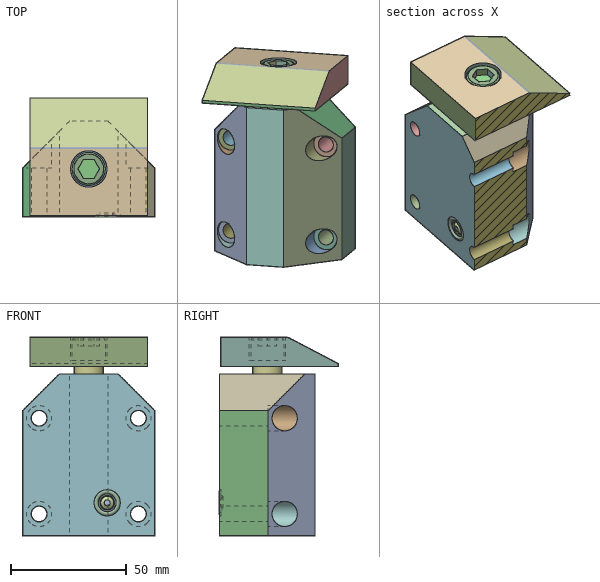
import cadquery as cq
import math


body_width = 57.2
body_depth = 41.3
body_height = 69.9
top_corner_cut = 15.9
rear_corner_cut = 20.3

hole_diameter = 6.7
counterbore_diameter = 10.9
counterbore_floor_y = body_depth - rear_corner_cut
hole_spacing_x = 42.9
hole_spacing_z = 41.3
lowest_hole_z = 9.4

stem_diameter = 12.7
stem_length = 3.2

plate_width = 50.8
plate_length = 50.8
plate_thickness = 12.7
plate_front_y = 0.5
slope_length = 21.8
slope_tip_height = 1.3
ridge_radius = 2.15

screw_y = body_depth / 2
screw_pocket_diameter = 15.7
screw_head_diameter = 14.3
screw_head_height = 9.5
screw_head_recess = 0.4
screw_head_chamfer = 0.7
hex_across_flats = 8.1
hex_across_corners = hex_across_flats / math.cos(math.radians(30))
hex_depth = 3.3

fitting_x = 8.0
fitting_z = 14.2
ring_outer_radius = 5.7
ring_inner_radius = 3.9
ring_protrusion = 0.2
nose_base_radius = 2.8
nose_tip_radius = 1.3
nose_height = 1.2
nose_tip_recess = 0.35
nose_clearance = 0.35

plate_bottom_z = body_height + stem_length
plate_top_z = plate_bottom_z + plate_thickness


def make_body():
    block = cq.Workplane("XY").box(body_width, body_depth, body_height, centered=(True, False, False))
    block = block.faces(">Z").edges("|Y").chamfer(top_corner_cut)

    half_width = body_width / 2
    for side in (-1, 1):
        corner = (
            cq.Workplane("XY")
            .moveTo(side * half_width, body_depth)
            .lineTo(side * (half_width - rear_corner_cut), body_depth)
            .lineTo(side * half_width, body_depth - rear_corner_cut)
            .close()
            .extrude(body_height)
        )
        block = block.cut(corner)
    return block


def rod_along_y(diameter, start_y, end_y, x, z):
    return (
        cq.Workplane("XZ", origin=(x, start_y, z))
        .circle(diameter / 2)
        .extrude(start_y - end_y)
    )


def cut_mounting_holes(body):
    for x in (-hole_spacing_x / 2, hole_spacing_x / 2):
        for z in (lowest_hole_z, lowest_hole_z + hole_spacing_z):
            body = body.cut(rod_along_y(hole_diameter, 0, body_depth, x, z))
            body = body.cut(rod_along_y(counterbore_diameter, counterbore_floor_y, body_depth, x, z))
    return body


def add_fitting(body):
    tube_radius = (ring_outer_radius - ring_inner_radius) / 2
    ring_radius = (ring_outer_radius + ring_inner_radius) / 2
    ring_center_y = tube_radius - ring_protrusion

    body = body.cut(rod_along_y(2 * ring_outer_radius, 0, ring_center_y, fitting_x, fitting_z))
    axis_plane = cq.Workplane("XY", origin=(fitting_x, 0, fitting_z))
    ring = (
        axis_plane.center(ring_radius, ring_center_y)
        .circle(tube_radius)
        .revolve(360, (-ring_radius, 0), (-ring_radius, 1))
    )
    body = body.union(ring)
    nose_base_y = nose_tip_recess + nose_height
    pocket_diameter = 2 * (nose_base_radius + nose_clearance)
    body = body.cut(rod_along_y(pocket_diameter, 0, nose_base_y, fitting_x, fitting_z))
    nose = (
        axis_plane.moveTo(0, nose_tip_recess)
        .lineTo(nose_tip_radius, nose_tip_recess)
        .lineTo(nose_base_radius, nose_base_y)
        .lineTo(0, nose_base_y)
        .close()
        .revolve(360, (0, 0), (0, 1))
    )
    return body.union(nose)


def make_plate():
    rear_y = plate_front_y + plate_length
    plate = (
        cq.Workplane("YZ")
        .moveTo(plate_front_y, plate_bottom_z)
        .lineTo(rear_y, plate_bottom_z)
        .lineTo(rear_y, plate_bottom_z + slope_tip_height)
        .lineTo(rear_y - slope_length, plate_top_z)
        .lineTo(plate_front_y, plate_top_z)
        .close()
        .extrude(plate_width / 2, both=True)
    )
    return plate.faces(">Z").edges(">Y").fillet(ridge_radius)


def add_screw(plate):
    head_top_z = plate_top_z - screw_head_recess
    head_bottom_z = head_top_z - screw_head_height

    pocket = (
        cq.Workplane("XY", origin=(0, screw_y, head_bottom_z))
        .circle(screw_pocket_diameter / 2)
        .extrude(plate_top_z - head_bottom_z)
    )
    head = (
        cq.Workplane("XY", origin=(0, screw_y, head_bottom_z))
        .circle(screw_head_diameter / 2)
        .extrude(screw_head_height)
        .faces(">Z")
        .chamfer(screw_head_chamfer)
    )
    hex_socket = (
        cq.Workplane("XY", origin=(0, screw_y, head_top_z - hex_depth))
        .polygon(6, hex_across_corners)
        .extrude(hex_depth)
    )
    return plate.cut(pocket).union(head.cut(hex_socket))


stem = (
    cq.Workplane("XY", origin=(0, screw_y, body_height))
    .circle(stem_diameter / 2)
    .extrude(stem_length)
)

body = add_fitting(cut_mounting_holes(make_body()))
plate = add_screw(make_plate())
result = body.union(stem).union(plate)